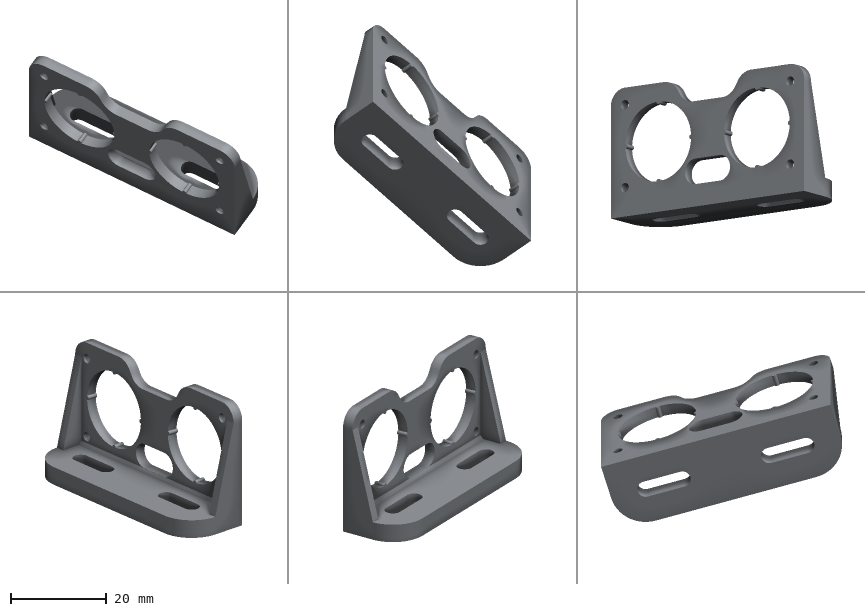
import cadquery as cq
import math

WIDTH = 50.0
DEPTH = 15.0
HEIGHT = 27.5
BASE_THICKNESS = 4.0
BASE_CORNER_RADIUS = 7.5
PLATE_THICKNESS = 2.4
PLATE_CORNER_RADIUS = 3.65

NOTCH_DEPTH = 5.0
NOTCH_MID_WIDTH = 15.0
NOTCH_SIDE_ANGLE = 60.0
NOTCH_RADIUS = 4.0

WINDOW_SPACING = 25.5
WINDOW_HEIGHT = 15.0
WINDOW_DIAMETER = 17.0
RIB_DIAMETER = 1.0
RIBS_PER_WINDOW = 4

SCREW_DIAMETER = 2.0
SCREW_SPACING_X = 42.7
SCREW_SPACING_Z = 17.7

PLATE_SLOT_LENGTH = 11.65
PLATE_SLOT_WIDTH = 5.45
PLATE_SLOT_HEIGHT = 7.5

BASE_SLOT_LENGTH = 11.5
BASE_SLOT_WIDTH = 3.5
BASE_SLOT_SPACING = 27.0
BASE_CENTRE_Y = DEPTH / 2
HEX_ACROSS_CORNERS = 6.45
HEX_REAR_EXTENT = 3.2
HEX_REAR_WIDTH = 2.85

GUSSET_WIDTH = 2.0
GUSSET_DEPTH = DEPTH - BASE_CORNER_RADIUS
BEVEL = 0.75


def plate_workplane():
    """Sketch plane on the front face: local x is X, local y is Z."""
    return cq.Workplane("XZ")


def make_plate():
    half_run = NOTCH_DEPTH / 2 / math.tan(math.radians(NOTCH_SIDE_ANGLE))
    notch_top = NOTCH_MID_WIDTH / 2 + half_run
    notch_floor = NOTCH_MID_WIDTH / 2 - half_run
    floor_height = HEIGHT - NOTCH_DEPTH
    outline = [
        (-WIDTH / 2, 0),
        (WIDTH / 2, 0),
        (WIDTH / 2, HEIGHT),
        (notch_top, HEIGHT),
        (notch_floor, floor_height),
        (-notch_floor, floor_height),
        (-notch_top, HEIGHT),
        (-WIDTH / 2, HEIGHT),
    ]
    plate = plate_workplane().polyline(outline).close().extrude(-PLATE_THICKNESS)
    notch_edges = cq.selectors.BoxSelector(
        (-notch_top - 0.5, -0.5, floor_height - 0.5),
        (notch_top + 0.5, PLATE_THICKNESS + 0.5, HEIGHT + 0.5),
    )
    plate = plate.edges("|Y").edges(notch_edges).fillet(NOTCH_RADIUS)
    return plate.edges("|Y and >Z").edges("<X or >X").fillet(PLATE_CORNER_RADIUS)


def make_base():
    base = cq.Workplane("XY").box(WIDTH, DEPTH, BASE_THICKNESS, centered=(True, False, False))
    return base.edges("|Z and >Y").fillet(BASE_CORNER_RADIUS)


def make_gusset(start_x):
    outline = [
        (0, 0),
        (GUSSET_DEPTH, 0),
        (GUSSET_DEPTH, BASE_THICKNESS),
        (PLATE_THICKNESS, HEIGHT - PLATE_CORNER_RADIUS),
        (0, HEIGHT - PLATE_CORNER_RADIUS),
    ]
    return cq.Workplane("YZ", origin=(start_x, 0, 0)).polyline(outline).close().extrude(GUSSET_WIDTH)


def make_bevel():
    outline = [
        (PLATE_THICKNESS, BASE_THICKNESS),
        (PLATE_THICKNESS + BEVEL, BASE_THICKNESS),
        (PLATE_THICKNESS, BASE_THICKNESS + BEVEL),
    ]
    return cq.Workplane("YZ").polyline(outline).close().extrude(WIDTH / 2 - GUSSET_WIDTH, both=True)


def make_window(centre_x):
    """Cutter for one round window, leaving half-round ribs on its rim."""
    window = (
        plate_workplane()
        .center(centre_x, WINDOW_HEIGHT)
        .circle(WINDOW_DIAMETER / 2)
        .extrude(-PLATE_THICKNESS)
    )
    ribs = (
        plate_workplane()
        .center(centre_x, WINDOW_HEIGHT)
        .polarArray(WINDOW_DIAMETER / 2, 0, 360, RIBS_PER_WINDOW)
        .circle(RIB_DIAMETER / 2)
        .extrude(-PLATE_THICKNESS)
    )
    return window.cut(ribs)


def make_screw_holes():
    return (
        plate_workplane()
        .center(0, WINDOW_HEIGHT)
        .rect(SCREW_SPACING_X, SCREW_SPACING_Z, forConstruction=True)
        .vertices()
        .circle(SCREW_DIAMETER / 2)
        .extrude(-GUSSET_DEPTH)
    )


def make_plate_slot():
    return (
        plate_workplane()
        .center(0, PLATE_SLOT_HEIGHT)
        .slot2D(PLATE_SLOT_LENGTH, PLATE_SLOT_WIDTH)
        .extrude(-GUSSET_DEPTH)
    )


def make_base_slots():
    return (
        cq.Workplane("XY")
        .pushPoints([(-BASE_SLOT_SPACING / 2, BASE_CENTRE_Y), (BASE_SLOT_SPACING / 2, BASE_CENTRE_Y)])
        .slot2D(BASE_SLOT_LENGTH, BASE_SLOT_WIDTH)
        .extrude(BASE_THICKNESS)
    )


def make_hex_insert():
    """Six-sided insert, flush with both faces of the base and longer toward the rear."""
    corner = HEX_ACROSS_CORNERS / 2
    front_extent = corner * math.sin(math.radians(60))
    outline = [
        (-corner, 0),
        (-corner / 2, -front_extent),
        (corner / 2, -front_extent),
        (corner, 0),
        (HEX_REAR_WIDTH / 2, HEX_REAR_EXTENT),
        (-HEX_REAR_WIDTH / 2, HEX_REAR_EXTENT),
    ]
    return cq.Workplane("XY").center(0, BASE_CENTRE_Y).polyline(outline).close().extrude(BASE_THICKNESS)


def make_bracket(insert):
    bracket = make_base().union(make_plate()).union(make_bevel())
    for start_x in (-WIDTH / 2, WIDTH / 2 - GUSSET_WIDTH):
        bracket = bracket.union(make_gusset(start_x))
    for centre_x in (-WINDOW_SPACING / 2, WINDOW_SPACING / 2):
        bracket = bracket.cut(make_window(centre_x))
    bracket = bracket.cut(make_screw_holes())
    bracket = bracket.cut(make_plate_slot())
    bracket = bracket.cut(make_base_slots())
    return bracket.cut(insert)


hex_insert = make_hex_insert()
bracket = make_bracket(hex_insert)

result = cq.Compound.makeCompound([bracket.val(), hex_insert.val()])